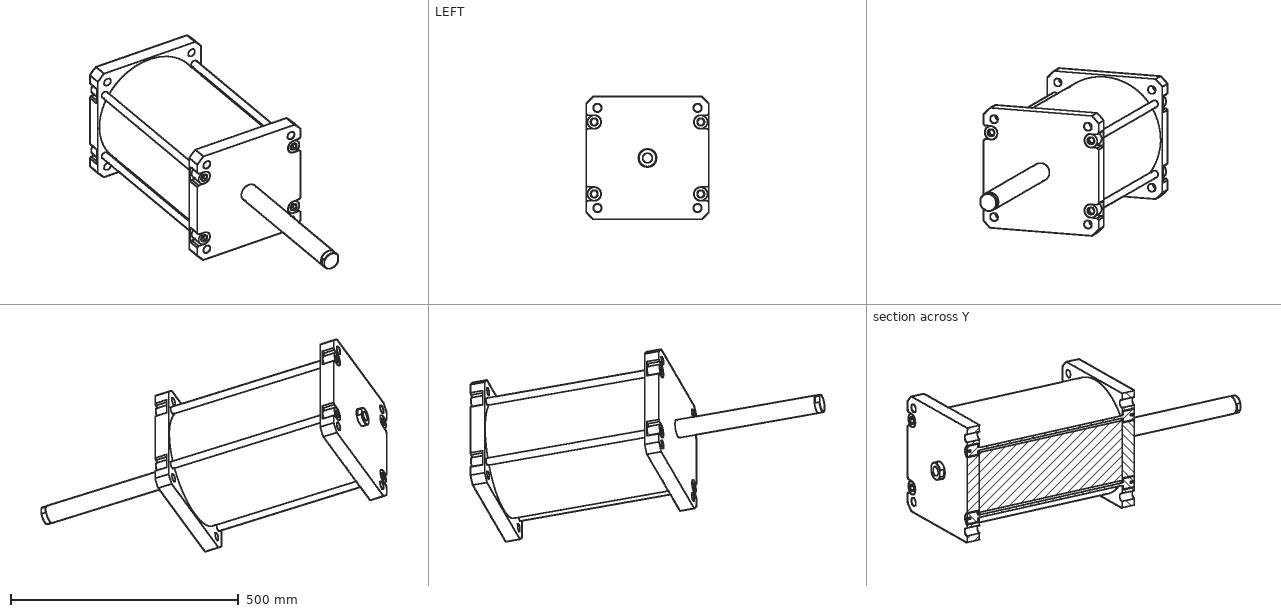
import cadquery as cq
import math

rod_length = 780
rod_stub = 12
cover_thickness = 33
covers_span = 435
left_face = rod_stub
right_face = left_face + covers_span
barrel_start = left_face + cover_thickness
barrel_length = covers_span - 2 * cover_thickness

cover_size = 270
corner_turning_diameter = 360
corner_hole_diameter = 17.5
corner_hole_chamfer = 0.5
corner_hole_offset = 110

barrel_diameter = 262

tie_rod_y = 117
tie_rod_z = 79
tie_rod_diameter = 16
head_diameter = 29.5
head_length = 28
socket_width = 14
hexagon_sides = 6
socket_depth = 10
socket_mouth_diameter = 16.5

slot_width = 30.5
slot_depth = head_length
slot_mouth_chamfer = 3.5

rod_diameter = 40
tip_diameter = 39.4
tip_length = rod_stub
tip_flat_width = 36
tip_flat_length = 10
tip_chamfer = 0.8
center_hole_diameter = 21
center_hole_depth = 40
drill_point_angle = 118

cylinder_axis = cq.Vector(1, 0, 0)
corner_signs = [(y_sign, z_sign) for y_sign in (-1, 1) for z_sign in (-1, 1)]


def rod_along_x(start, length, diameter, y=0, z=0):
    """Round bar parallel to X that begins at x = start."""
    bar = cq.Solid.makeCylinder(diameter / 2, length, cq.Vector(start, y, z), cylinder_axis)
    return cq.Workplane(obj=bar)


def box_along_x(start, length, width, height, y=0, z=0):
    """Box that begins at x = start and is centred on (y, z)."""
    return cq.Workplane("YZ", origin=(start, y, z)).rect(width, height).extrude(length)


def mirrored_to_right(body):
    """Copy of a left-hand shape, turned over for the right-hand cover."""
    return body.mirror("YZ", ((left_face + right_face) / 2, 0, 0))


def head_slot(y_sign, z_sign):
    """Slot for one tie rod head, open at the cover face and at its side."""
    side = y_sign * cover_size / 2
    center_y = y_sign * tie_rod_y
    center_z = z_sign * tie_rod_z
    round_end = rod_along_x(left_face, slot_depth, slot_width, center_y, center_z)
    half_width = slot_width / 2
    mouth = half_width + slot_mouth_chamfer
    neck = side - y_sign * slot_mouth_chamfer
    opening = (
        cq.Workplane("YZ", origin=(left_face, 0, center_z))
        .moveTo(center_y, -half_width)
        .lineTo(neck, -half_width)
        .lineTo(side, -mouth)
        .lineTo(side, mouth)
        .lineTo(neck, half_width)
        .lineTo(center_y, half_width)
        .close()
        .extrude(slot_depth)
    )
    return round_end.union(opening)


def countersink(mouth_diameter, root_diameter, y, z):
    """45 degree cone that narrows inward from the left cover face."""
    mouth_radius = mouth_diameter / 2
    root_radius = root_diameter / 2
    depth = mouth_radius - root_radius
    cone = cq.Solid.makeCone(mouth_radius, root_radius, depth, cq.Vector(left_face, y, z), cylinder_axis)
    return cq.Workplane(obj=cone)


def corner_hole(y, z):
    """Mounting hole through the cover, chamfered at the outer face."""
    bore = rod_along_x(left_face, cover_thickness, corner_hole_diameter, y, z)
    mouth_diameter = corner_hole_diameter + 2 * corner_hole_chamfer
    return bore.union(countersink(mouth_diameter, corner_hole_diameter, y, z))


def make_left_cover():
    """Square plate with turned corners, corner holes, head slots and rod bore."""
    cover = box_along_x(left_face, cover_thickness, cover_size, cover_size)
    cover = cover.intersect(rod_along_x(left_face, cover_thickness, corner_turning_diameter))
    cover = cover.cut(rod_along_x(left_face, cover_thickness, rod_diameter))
    for y_sign, z_sign in corner_signs:
        cover = cover.cut(corner_hole(y_sign * corner_hole_offset, z_sign * corner_hole_offset))
        rod_y = y_sign * tie_rod_y
        rod_z = z_sign * tie_rod_z
        cover = cover.cut(rod_along_x(left_face, cover_thickness, tie_rod_diameter, rod_y, rod_z))
        cover = cover.cut(head_slot(y_sign, z_sign))
    return cover


def make_barrel():
    """Round barrel between the covers, bored for the piston rod."""
    barrel = rod_along_x(barrel_start, barrel_length, barrel_diameter)
    return barrel.cut(rod_along_x(barrel_start, barrel_length, rod_diameter))


def head_socket(y, z):
    """Hexagon socket with a countersunk mouth, cut from the left face."""
    corner_diameter = socket_width / math.cos(math.pi / hexagon_sides)
    hexagon = (
        cq.Workplane("YZ", origin=(left_face, y, z))
        .polygon(hexagon_sides, corner_diameter)
        .extrude(socket_depth)
    )
    return hexagon.union(countersink(socket_mouth_diameter, socket_width, y, z))


def make_tie_rod(y, z):
    """Tie rod through both covers with a socket head at each end."""
    left_head = rod_along_x(left_face, head_length, head_diameter, y, z).cut(head_socket(y, z))
    shank_length = covers_span - 2 * head_length
    shank = rod_along_x(left_face + head_length, shank_length, tie_rod_diameter, y, z)
    return shank.union(left_head).union(mirrored_to_right(left_head))


def center_hole():
    """Drilled hole in the left end of the rod, with a conical bottom."""
    radius = center_hole_diameter / 2
    point_length = radius / math.tan(math.radians(drill_point_angle / 2))
    bore = rod_along_x(0, center_hole_depth, center_hole_diameter)
    point = cq.Solid.makeCone(radius, 0, point_length, cq.Vector(center_hole_depth, 0, 0), cylinder_axis)
    return bore.union(cq.Workplane(obj=point))


def make_piston_rod():
    """Through rod whose slimmer tips carry a pair of flats."""
    rod = rod_along_x(tip_length, rod_length - 2 * tip_length, rod_diameter)
    left_tip = rod_along_x(0, tip_length, tip_diameter)
    left_tip = left_tip.faces("<X").chamfer(tip_chamfer)
    right_tip = rod_along_x(rod_length - tip_length, tip_length, tip_diameter)
    right_tip = right_tip.faces(">X").chamfer(tip_chamfer)
    rod = rod.union(left_tip).union(right_tip)
    flat_cut_width = rod_diameter - tip_flat_width
    flat_y = (tip_flat_width + flat_cut_width) / 2
    for start in (0, rod_length - tip_flat_length):
        for side in (-1, 1):
            rod = rod.cut(box_along_x(start, tip_flat_length, flat_cut_width, rod_diameter, side * flat_y))
    return rod.cut(center_hole())


left_cover = make_left_cover()
right_cover = mirrored_to_right(left_cover)
barrel = make_barrel()
tie_rods = [make_tie_rod(y_sign * tie_rod_y, z_sign * tie_rod_z) for y_sign, z_sign in corner_signs]
piston_rod = make_piston_rod()

result = cq.Compound.makeCompound(
    [
        left_cover.val(),
        right_cover.val(),
        barrel.val(),
        *[tie_rod.val() for tie_rod in tie_rods],
        piston_rod.val(),
    ]
)